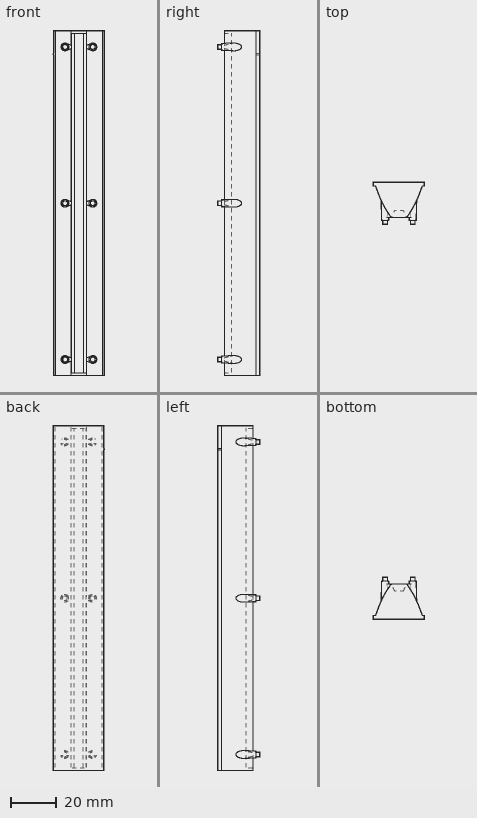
import cadquery as cq
import math

length = 150.0
flange_width = 22.0
total_depth = 18.5

flange_depth = 1.8
bar_back_width = 20.4
bar_front_width = 6.8
bar_depth = 15.5
side_bulge = 0.6

trough_width = 6.5
trough_floor_width = 3.9
trough_depth = 3.0
trough_end_margin = 1.2

pin_diameter = 3.2
pin_root_depth = 7.5
pin_draft = 1.3
pin_offset = 6.0
pin_pitch = 68.0
tip_diameter = 2.1
tip_length = 1.8

web_pin_offset = 0.5
web_pin_height = 3.0
web_bar_height = 1.4

ridge_diameter = 0.9
ridge_height = 0.2
ridge_from_top = 10.2

SIDES = (-1, 1)
pin_levels = [row * pin_pitch for row in (-1, 0, 1)]


def bulged_point(start, end, bulge):
    """Middle of an arc from start to end that swells by bulge to the left of that direction."""
    run = end[0] - start[0]
    rise = end[1] - start[1]
    chord = math.hypot(run, rise)
    mid_x = (start[0] + end[0]) / 2 - bulge * rise / chord
    mid_y = (start[1] + end[1]) / 2 + bulge * run / chord
    return (mid_x, mid_y)


def make_bar():
    left_back = (-bar_back_width / 2, -flange_depth)
    left_front = (-bar_front_width / 2, -bar_depth)
    right_front = (bar_front_width / 2, -bar_depth)
    right_back = (bar_back_width / 2, -flange_depth)
    return (
        cq.Workplane("XY")
        .workplane(offset=-length / 2)
        .moveTo(-flange_width / 2, 0)
        .lineTo(-flange_width / 2, -flange_depth)
        .lineTo(*left_back)
        .threePointArc(bulged_point(left_back, left_front, -side_bulge), left_front)
        .lineTo(*right_front)
        .threePointArc(bulged_point(right_front, right_back, -side_bulge), right_back)
        .lineTo(flange_width / 2, -flange_depth)
        .lineTo(flange_width / 2, 0)
        .close()
        .extrude(length)
    )


def make_trough():
    floor_y = trough_depth - bar_depth
    trough_length = length - 2 * trough_end_margin
    return (
        cq.Workplane("XY")
        .workplane(offset=-trough_length / 2)
        .polyline([
            (-trough_width / 2, -bar_depth),
            (-trough_floor_width / 2, floor_y),
            (trough_floor_width / 2, floor_y),
            (trough_width / 2, -bar_depth),
        ])
        .close()
        .extrude(trough_length)
    )


def make_pin(side, level):
    """Stepped pin that starts inside the bar and points forward, thickening slightly to its root."""
    shoulder_depth = total_depth - tip_length
    body = (
        cq.Workplane("XZ")
        .workplane(offset=shoulder_depth)
        .center(side * pin_offset, level)
        .circle(pin_diameter / 2)
        .extrude(pin_root_depth - shoulder_depth, taper=-pin_draft)
    )
    tip = (
        cq.Workplane("XZ")
        .workplane(offset=shoulder_depth)
        .center(side * pin_offset, level)
        .circle(tip_diameter / 2)
        .extrude(tip_length)
    )
    return body.union(tip)


def make_web(side, level):
    """Wedge that fills the gap between a pin and the bar, flush with the bar's front face."""
    pin_x = side * (pin_offset - web_pin_offset)
    bar_x = side * trough_width / 2
    return (
        cq.Workplane("XZ")
        .workplane(offset=pin_root_depth)
        .polyline([
            (pin_x, level - web_pin_height / 2),
            (bar_x, level - web_bar_height / 2),
            (bar_x, level + web_bar_height / 2),
            (pin_x, level + web_pin_height / 2),
        ])
        .close()
        .extrude(bar_depth - pin_root_depth)
    )


def make_ridge():
    """Low rounded ridge across the depth of the flange's left edge."""
    return (
        cq.Workplane("XZ")
        .center(ridge_diameter / 2 - flange_width / 2 - ridge_height, length / 2 - ridge_from_top)
        .circle(ridge_diameter / 2)
        .extrude(flange_depth)
    )


result = make_bar()
for side in SIDES:
    for level in pin_levels:
        result = result.union(make_pin(side, level)).union(make_web(side, level))
result = result.cut(make_trough()).union(make_ridge())